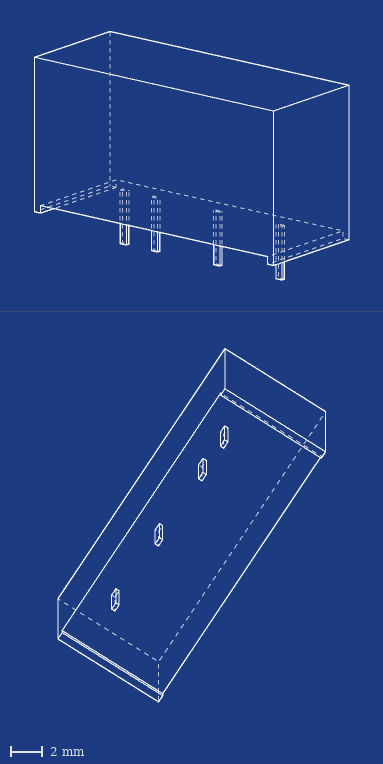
import cadquery as cq

case_length = 19.5
case_width = 7.6
case_height = 10.2

foot_length = 0.5
foot_height = 0.5

pin_pitch = 2.54
pin_positions = (0, 1, 3, 5)
first_pin_from_end = 2.4
pin_row_from_back = 1.5
pin_width = 0.5
pin_thickness = 0.25
pin_reach = 3.05

first_pin_x = first_pin_from_end - case_length / 2
pin_row_y = case_width / 2 - pin_row_from_back


def make_case():
    """Block with a full-width recess between the two end feet."""
    block = cq.Workplane("XY").box(case_length, case_width, case_height, centered=(True, True, False))
    recess_length = case_length - 2 * foot_length
    recess = cq.Workplane("XY").box(recess_length, case_width, foot_height, centered=(True, True, False))
    return block.cut(recess)


def make_pins():
    """Flat pins hanging from the recessed underside."""
    centres = [(first_pin_x + position * pin_pitch, pin_row_y) for position in pin_positions]
    return (
        cq.Workplane("XY")
        .workplane(offset=-pin_reach)
        .pushPoints(centres)
        .rect(pin_width, pin_thickness)
        .extrude(pin_reach + foot_height)
    )


result = make_case().union(make_pins())